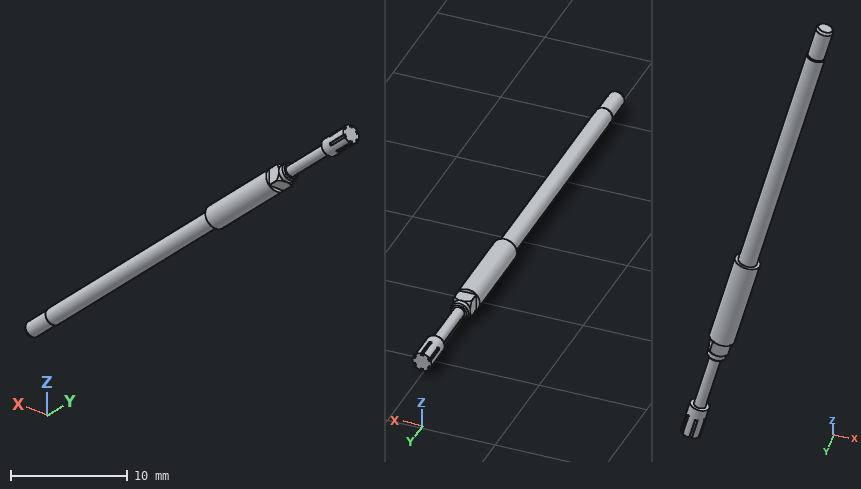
import cadquery as cq

LENGTH = 44.3
HEAD_END = LENGTH / 2
TAIL_END = -LENGTH / 2

HEAD_DIAMETER = 1.75
STEM_DIAMETER = 1.05
COLLAR_DIAMETER = 2.3
BODY_DIAMETER = 1.7
TAIL_DIAMETER = 1.55

HEAD_LENGTH = 3.0
STEM_LENGTH = 5.3
NECK_LENGTH = 0.6
FLATS_LENGTH = 1.37
COLLAR_LENGTH = 8.4
TAIL_LENGTH = 3.0

NECK_CHAMFER = 0.15
FLATS_CHAMFER = 0.3
BODY_CHAMFER = 0.1
TAIL_CHAMFER_LENGTH = 0.25
TAIL_CHAMFER_DEPTH = 0.15

FLATS_SPACING = 1.65

GROOVE_COUNT = 6
GROOVE_WIDTH = 0.2
GROOVE_DEPTH = 0.18
GROOVE_LENGTH = 1.95

head_base = HEAD_END - HEAD_LENGTH
neck_top = head_base - STEM_LENGTH
flats_top = neck_top - NECK_LENGTH
collar_top = flats_top - FLATS_LENGTH
collar_base = collar_top - COLLAR_LENGTH
tail_top = TAIL_END + TAIL_LENGTH


def rod(diameter, start, end):
    """Round bar on the Y axis, from start up to end."""
    profile = cq.Workplane("XZ", origin=(0, end, 0)).circle(diameter / 2)
    return profile.extrude(end - start)


def make_tail():
    """Thin end with a long chamfer around its tip, turned about the Y axis."""
    radius = TAIL_DIAMETER / 2
    half_profile = (
        cq.Workplane("XY")
        .moveTo(0, TAIL_END)
        .lineTo(radius - TAIL_CHAMFER_DEPTH, TAIL_END)
        .lineTo(radius, TAIL_END + TAIL_CHAMFER_LENGTH)
        .lineTo(radius, tail_top)
        .lineTo(0, tail_top)
        .close()
    )
    return half_profile.revolve(360, (0, 0, 0), (0, 1, 0))


def make_flats():
    """Chamfered round block cut down to four wrench flats."""
    block = rod(COLLAR_DIAMETER, collar_top, flats_top).faces(">Y").chamfer(FLATS_CHAMFER)
    square = cq.Workplane("XZ", origin=(0, flats_top, 0)).rect(FLATS_SPACING, FLATS_SPACING)
    return block.intersect(square.extrude(FLATS_LENGTH))


def make_head():
    """Round head with lengthwise grooves spaced evenly around it."""
    head = rod(HEAD_DIAMETER, head_base, HEAD_END)
    groove = cq.Workplane("XY").box(GROOVE_WIDTH, GROOVE_LENGTH, 2 * GROOVE_DEPTH)
    groove = groove.translate((0, HEAD_END - GROOVE_LENGTH / 2, HEAD_DIAMETER / 2))
    for index in range(GROOVE_COUNT):
        angle = index * 360 / GROOVE_COUNT
        head = head.cut(groove.rotate((0, 0, 0), (0, 1, 0), angle))
    return head


body = rod(BODY_DIAMETER, tail_top, collar_base).faces("<Y").chamfer(BODY_CHAMFER)
collar = rod(COLLAR_DIAMETER, collar_base, collar_top)
neck = rod(BODY_DIAMETER, flats_top, neck_top).faces(">Y").chamfer(NECK_CHAMFER)
stem = rod(STEM_DIAMETER, neck_top, head_base)

result = make_tail()
for section in (body, collar, make_flats(), neck, stem, make_head()):
    result = result.union(section)